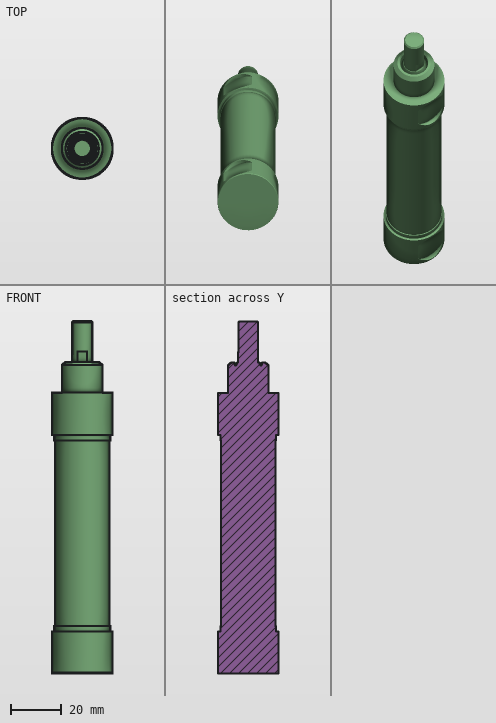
import cadquery as cq

total_length = 138.5
rod_length = 16.0
nose_length = 12.0
head_length = 16.6
collar_length = 2.1

nose_top = total_length - rod_length
front_head_top = nose_top - nose_length
front_head_bottom = front_head_top - head_length

rod_diameter = 8.0
nose_diameter = 16.0
head_diameter = 24.0
collar_diameter = 22.2
tube_diameter = 21.5

rod_chamfer = 0.5
nose_chamfer_height = 1.2
nose_face_diameter = 13.0
end_chamfer_height = 0.4
end_chamfer_width = 0.1

groove_mouth_diameter = 11.1
groove_root_diameter = 10.0
groove_depth = 1.4
wiper_lip_diameter = 8.5

flat_length = 4.2
across_flats = 7.0

port_seat_diameter = 15.0
port_seat_depth = 1.7


def cylinder(diameter, bottom, top):
    """Cylinder on the Z axis between two heights."""
    return cq.Workplane("XY").workplane(offset=bottom).circle(diameter / 2).extrude(top - bottom)


def make_barrel():
    """Tube with a collar where it enters each head."""
    tube = cylinder(tube_diameter, head_length, front_head_bottom)
    rear_collar = cylinder(collar_diameter, head_length, head_length + collar_length)
    front_collar = cylinder(collar_diameter, front_head_bottom - collar_length, front_head_bottom)
    return tube.union(rear_collar).union(front_collar)


def make_head(bottom):
    """Cylindrical end head with a flat-bottomed port seat on its +Y side."""
    head = cylinder(head_diameter, bottom, bottom + head_length)
    seat = (
        cq.Workplane("XZ", origin=(0, head_diameter / 2 - port_seat_depth, bottom + head_length / 2))
        .circle(port_seat_diameter / 2)
        .extrude(-head_diameter)
    )
    return head.cut(seat)


def make_nose():
    """Chamfered nose with a V-groove that leaves a tapered wiper lip against the rod."""
    nose = cylinder(nose_diameter, front_head_top, nose_top)
    nose_chamfer_width = (nose_diameter - nose_face_diameter) / 2
    nose = nose.faces(">Z").chamfer(nose_chamfer_height, nose_chamfer_width)
    groove = (
        cq.Workplane("XZ")
        .moveTo(wiper_lip_diameter / 2, nose_top)
        .lineTo(groove_root_diameter / 2, nose_top - groove_depth)
        .lineTo(groove_mouth_diameter / 2, nose_top)
        .close()
        .revolve(360, (0, 0), (0, 1))
    )
    return nose.cut(groove)


def make_rod():
    """Piston rod with a chamfered tip and two wrench flats facing -Y and +Y."""
    rod = cylinder(rod_diameter, nose_top, total_length)
    rod = rod.faces(">Z").chamfer(rod_chamfer)
    flat_middle = nose_top + flat_length / 2
    for side in (-1, 1):
        cutter = cq.Workplane("XY").box(rod_diameter, rod_diameter, flat_length)
        rod = rod.cut(cutter.translate((0, side * (across_flats + rod_diameter) / 2, flat_middle)))
    return rod


rear_head = make_head(0).faces("<Z").edges().chamfer(end_chamfer_height, end_chamfer_width)
front_head = make_head(front_head_bottom)
result = make_barrel().union(rear_head).union(front_head).union(make_nose()).union(make_rod())